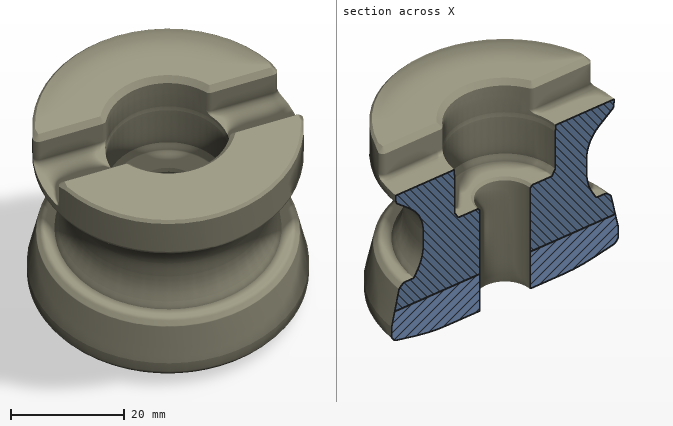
import cadquery as cq
import math

total_height = 40.0
split_height = 8.3
ledge_height = 13.75
neck_bottom = 20.0
neck_top = 23.3

foot_radius = 24.95
foot_straight_top = 5.1
ledge_radius = 23.3
foot_flat_radius = 12.7
bevel_angle = 12.1
bevel_blend = 32.45
foot_edge_inset = 0.7
foot_edge_height = 1.05
foot_edge_rounding = 0.75
ledge_chamfer = 1.0
ledge_inner_rounding = 1.0
ledge_outer_rounding = 0.3

neck_radius = 36.0 / 2
lower_flare_radius = 10.0
lower_flare_angle = 30.0
upper_flare_radius = 7.85
upper_flare_angle = 50.0
head_radius = 48.0 / 2
head_rim_chamfer = 0.5
head_underside_fillet = 1.0

slot_width = 10.55
slot_depth = 6.3
jaw_reach = 23.2
jaw_corner_fillet = 1.05
jaw_chamfer = 1.0
slot_floor_fillet = 0.7
upper_bore_radius = 22.2 / 2
lower_bore_radius = 22.0 / 2
bore_floor_radius = 10.3
bore_cone_height = 1.3
bore_depth = 17.2
bore_floor_fillet = 0.25
bore_step_drop = 0.6
bore_step_height = 0.9
hole_radius = 11 / 2
hole_chamfer = 0.5

edge_tolerance = 0.005

slot_floor = total_height - slot_depth
bore_floor = total_height - bore_depth
bore_step_top = slot_floor - bore_step_drop
bore_step_bottom = bore_step_top - bore_step_height
split_radius = foot_radius - (foot_radius - ledge_radius) * (
    (split_height - foot_straight_top) / (ledge_height - ledge_chamfer - foot_straight_top)
)


def flare_point(radius, angle, start, direction):
    """Point of a neck flare that has turned by angle (degrees) from the straight neck."""
    turn = math.radians(angle)
    return (
        neck_radius + radius * (1 - math.cos(turn)),
        start + direction * radius * math.sin(turn),
    )


def edges_at(body, radius, height):
    """Circular edges of body around the Z axis with this radius and height."""
    found = [
        edge
        for edge in body.edges("%CIRCLE").vals()
        if abs(edge.radius() - radius) < edge_tolerance and abs(edge.Center().z - height) < edge_tolerance
    ]
    return body.newObject(found)


def make_foot():
    bevel = math.radians(bevel_angle)
    half_bevel = bevel / 2
    blend_mid = (
        foot_flat_radius + bevel_blend * math.sin(half_bevel),
        bevel_blend * (1 - math.cos(half_bevel)),
    )
    blend_end = (
        foot_flat_radius + bevel_blend * math.sin(bevel),
        bevel_blend * (1 - math.cos(bevel)),
    )
    edge_radius = foot_radius - foot_edge_inset
    edge_bottom = blend_end[1] + (edge_radius - blend_end[0]) * math.tan(bevel)
    edge_top = edge_bottom + foot_edge_height
    foot = (
        cq.Workplane("XZ")
        .moveTo(0, 0)
        .lineTo(foot_flat_radius, 0)
        .threePointArc(blend_mid, blend_end)
        .lineTo(edge_radius, edge_bottom)
        .lineTo(foot_radius, edge_top)
        .lineTo(foot_radius, foot_straight_top)
        .lineTo(split_radius, split_height)
        .lineTo(0, split_height)
        .close()
        .revolve(360, (0, 0), (0, 1))
    )
    foot = edges_at(foot, foot_radius, edge_top).fillet(foot_edge_rounding)
    foot = edges_at(foot, edge_radius, edge_bottom).fillet(foot_edge_rounding)
    hole = cq.Workplane().circle(hole_radius).extrude(split_height)
    return foot.cut(hole)


def make_spool_blank():
    lower_mid = flare_point(lower_flare_radius, lower_flare_angle / 2, neck_bottom, -1)
    lower_end = flare_point(lower_flare_radius, lower_flare_angle, neck_bottom, -1)
    upper_mid = flare_point(upper_flare_radius, upper_flare_angle / 2, neck_top, 1)
    upper_end = flare_point(upper_flare_radius, upper_flare_angle, neck_top, 1)
    lower_slope = math.tan(math.radians(lower_flare_angle))
    upper_slope = math.tan(math.radians(upper_flare_angle))
    ledge_inner_radius = lower_end[0] + (lower_end[1] - ledge_height) * lower_slope
    head_bottom = upper_end[1] + (head_radius - upper_end[0]) / upper_slope
    blank = (
        cq.Workplane("XZ")
        .moveTo(0, split_height)
        .lineTo(split_radius, split_height)
        .lineTo(ledge_radius, ledge_height - ledge_chamfer)
        .lineTo(ledge_radius - ledge_chamfer, ledge_height)
        .lineTo(ledge_inner_radius, ledge_height)
        .lineTo(*lower_end)
        .threePointArc(lower_mid, (neck_radius, neck_bottom))
        .lineTo(neck_radius, neck_top)
        .threePointArc(upper_mid, upper_end)
        .lineTo(head_radius, head_bottom)
        .lineTo(head_radius, total_height)
        .lineTo(0, total_height)
        .close()
        .revolve(360, (0, 0), (0, 1))
    )
    blank = edges_at(blank, ledge_radius, ledge_height - ledge_chamfer).fillet(ledge_outer_rounding)
    blank = edges_at(blank, ledge_radius - ledge_chamfer, ledge_height).fillet(ledge_inner_rounding)
    blank = edges_at(blank, head_radius, head_bottom).fillet(head_underside_fillet)
    return edges_at(blank, head_radius, total_height).chamfer(head_rim_chamfer)


def make_slotted_block():
    """Block with two soft-edged jaws standing on the slot floor, larger than the spool all round."""
    block_side = 3 * foot_radius
    floor_plane = cq.Workplane().workplane(offset=slot_floor)
    jaws = floor_plane.rect(block_side, 2 * jaw_reach).extrude(slot_depth)
    jaws = jaws.cut(floor_plane.rect(slot_width, block_side).extrude(slot_depth))
    jaws = jaws.cut(floor_plane.circle(upper_bore_radius).extrude(slot_depth))
    slot_edges = cq.selectors.BoxSelector(
        (-slot_width, -block_side, 0), (slot_width, block_side, total_height)
    )
    jaws = jaws.edges("|Z").edges(slot_edges).fillet(jaw_corner_fillet)
    jaws = jaws.faces(">Z").edges().chamfer(jaw_chamfer)
    base = floor_plane.rect(block_side, block_side).extrude(-slot_floor)
    block = base.union(jaws)
    jaw_feet = cq.selectors.BoxSelector(
        (-foot_radius, -foot_radius, slot_floor - edge_tolerance),
        (foot_radius, foot_radius, slot_floor + edge_tolerance),
    )
    return block.edges(jaw_feet).fillet(slot_floor_fillet)


def make_upper_bore():
    return (
        cq.Workplane()
        .workplane(offset=bore_step_top)
        .circle(upper_bore_radius)
        .extrude(total_height - bore_step_top)
    )


def make_lower_bore():
    """Cutter below the upper bore: bore with a conical bottom, and the hole with its chamfer."""
    bore = (
        cq.Workplane("XZ")
        .moveTo(0, 0)
        .lineTo(hole_radius, 0)
        .lineTo(hole_radius, bore_floor - hole_chamfer)
        .lineTo(hole_radius + hole_chamfer, bore_floor)
        .lineTo(bore_floor_radius, bore_floor)
        .lineTo(lower_bore_radius, bore_floor + bore_cone_height)
        .lineTo(lower_bore_radius, bore_step_bottom)
        .lineTo(upper_bore_radius, bore_step_top)
        .lineTo(0, bore_step_top)
        .close()
        .revolve(360, (0, 0), (0, 1))
    )
    return edges_at(bore, bore_floor_radius, bore_floor).fillet(bore_floor_fillet)


def make_spool():
    spool = make_spool_blank().intersect(make_slotted_block())
    return spool.cut(make_upper_bore()).cut(make_lower_bore())


foot = make_foot()
spool = make_spool()
result = cq.Compound.makeCompound([foot.val(), spool.val()])